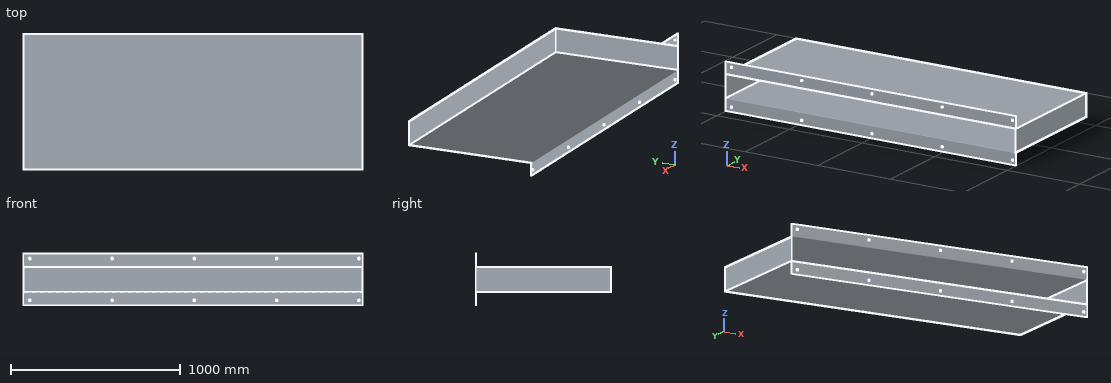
import cadquery as cq

length = 2000.0
depth = 800.0
height = 305.0

sheet = 3.0
box_height = 150.0
inner_bend_radius = 3.0
outer_bend_radius = inner_bend_radius + sheet

hole_diameter = 10.0
hole_left_margin = 40.0
hole_pitch = 485.0
hole_edge_margin = 30.0
holes_per_row = 5


def make_box():
    """Shallow box, open at the front (-Y)."""
    outside = cq.Workplane("XY").box(length, depth, box_height)
    cavity = cq.Workplane("XY").box(length - 2 * sheet, depth, box_height - 2 * sheet)
    return outside.cut(cavity.translate((0, -sheet, 0)))


def make_flange(side):
    """Upright strip along the front opening; side is +1 for the top, -1 for the bottom."""
    inner_edge = box_height / 2 - sheet
    width = height / 2 - inner_edge
    strip = cq.Workplane("XY").box(length, sheet, width)
    return strip.translate((0, (sheet - depth) / 2, side * (inner_edge + width / 2)))


def make_holes():
    """Drills through both flanges, evenly spaced along the length."""
    row_centre = -length / 2 + hole_left_margin + hole_pitch * (holes_per_row - 1) / 2
    row_spacing = height - 2 * hole_edge_margin
    return (
        cq.Workplane("XZ", origin=(row_centre, -depth / 2, 0))
        .rarray(hole_pitch, row_spacing, holes_per_row, 2)
        .circle(hole_diameter / 2)
        .extrude(-sheet)
    )


def edges_along_x(body, y, z):
    """The edges parallel to X at height +z or -z in the plane at y."""
    reach = sheet / 3
    picked = body.edges("|X")
    return picked.edges(
        cq.selectors.BoxSelector((-length, y - reach, z - reach), (length, y + reach, z + reach))
        + cq.selectors.BoxSelector((-length, y - reach, -z - reach), (length, y + reach, -z + reach))
    )


def round_bends(body):
    """Rounds both faces of the bends where the box turns into the flanges."""
    front = -depth / 2
    body = edges_along_x(body, front + sheet, box_height / 2).fillet(inner_bend_radius)
    return edges_along_x(body, front, box_height / 2 - sheet).fillet(outer_bend_radius)


body = make_box().union(make_flange(1)).union(make_flange(-1)).clean()
result = round_bends(body).cut(make_holes())